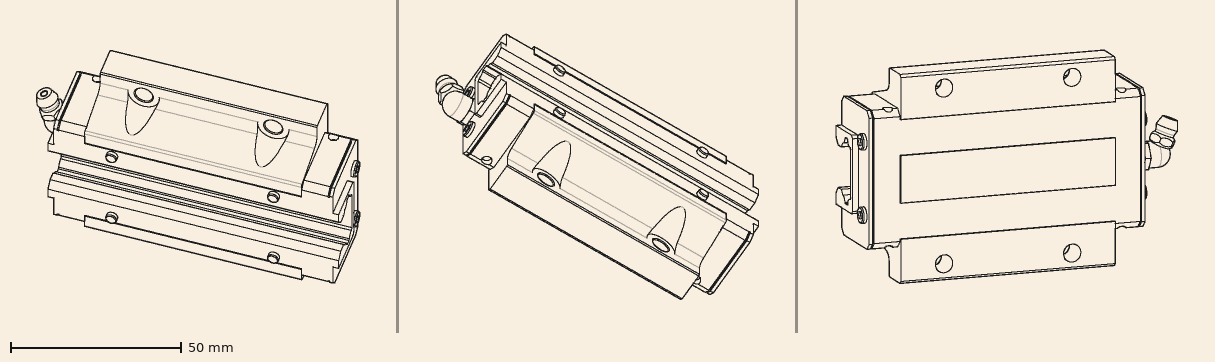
import cadquery as cq
import math


overall_length = 99.6

block_length = 67.0
block_width = 63.0
block_half_width = block_width / 2
block_front_y = -24.8
flange_thickness = 10.2
flange_back_chamfer = 0.8
flange_front_chamfer = 0.4
flank_angle = 15.0
flank_end_z = 20.9
flank_fillet = 3.0
front_edge_fillet = 0.8
front_pad_inner_z = 16.0

relief_inner_z = 7.2
relief_outer_z = 18.0
relief_depth = 0.7

mount_hole_x = 20.0
mount_hole_z = 26.5
mount_hole_diameter = 5.4
mount_mouth_diameter = 6.0
spot_face_diameter = 9.7

cap_half_width = 20.9
cap_back_y = -relief_depth
cap_front_y = -24.5
cap_chamfer = 2.1
cap_end_x = 41.6
plate_start_x = 42.0
plate_end_x = 43.1
plate_back_y = -0.9
plate_chamfer = 1.9
seam_depth = 0.5
wiper_half_width = 11.9
wiper_back_y = -10.2
wiper_chamfer = 0.9
wiper_end_x = 44.9

opening_back_y = -12.0
opening_back_half_width = 7.3
track_center_y = -15.5
track_half_width = 3.0
track_edge_z = 7.9
track_middle_half_width = 1.7
track_middle_z = 8.5
slot_mouth_half_width = 1.2
slot_mouth_z = 9.7
slot_floor_half_width = 0.8
slot_floor_z = 10.0
lip_back_y = -19.7
lip_front_y = -22.5
lip_half_width = 6.4
mouth_half_width = 8.5

port_x = 36.5
port_y = -3.5
port_diameter = 3.0
port_depth = 3.0

edge_chamfer_width = 0.2
edge_chamfer_height = 0.4

screw_y = -5.2
screw_z = 11.1
screw_diameter = 4.9
screw_height = 1.3
socket_diameter = 2.2
socket_depth = 0.6

stud_x = 25.0
stud_z = 13.4
stud_diameter = 3.4
stud_end_y = -26.0

nipple_y = -5.1
nut_width = 8.0
nut_thickness = 1.8
elbow_diameter = 8.0
nipple_tilt = 22.0
nipple_hex_width = 7.0
nipple_hex_start = 2.6
nipple_hex_end = 6.3
nipple_hex_bevel = 1.2
nipple_neck_diameter = 5.8
nipple_neck_end = 7.0
head_diameter = 6.7
head_shoulder = 8.5
head_tip_diameter = 4.7
nipple_length = 11.3
nipple_reach = (
    nipple_length * math.sin(math.radians(nipple_tilt))
    + head_tip_diameter / 2 * math.cos(math.radians(nipple_tilt))
)
elbow_center_x = wiper_end_x - overall_length + nipple_reach
inlet_diameter = 2.2
inlet_depth = 0.2
inlet_ball_diameter = 4.4


def mirrored_outline(upper_points):
    """Close an outline in (Y, Z) from its +Z half."""
    lower_points = [(y, -z) for y, z in reversed(upper_points)]
    return cq.Workplane("YZ").polyline(upper_points + lower_points).close()


def extruded_both_ways(outline, half_length):
    return outline.extrude(half_length, both=True)


def chamfered_section(half_width, back_y, chamfer, half_length, front_chamfer=0.0):
    """Bar along X with chamfers on its long edges at the back and, optionally, the front."""
    points = [(back_y, half_width - chamfer), (back_y - chamfer, half_width)]
    if front_chamfer > 0:
        points += [(cap_front_y + front_chamfer, half_width), (cap_front_y, half_width - front_chamfer)]
    else:
        points += [(cap_front_y, half_width)]
    return extruded_both_ways(mirrored_outline(points), half_length)


def steel_block():
    flank_root_z = flank_end_z + (-flange_thickness - block_front_y) * math.tan(math.radians(flank_angle))
    half_length = block_length / 2
    points = [
        (0, block_half_width - flange_back_chamfer),
        (-flange_back_chamfer, block_half_width),
        (-flange_thickness + flange_front_chamfer, block_half_width),
        (-flange_thickness, block_half_width - flange_front_chamfer),
        (-flange_thickness, flank_root_z),
        (block_front_y, flank_end_z),
        (block_front_y, front_pad_inner_z),
        (cap_front_y, front_pad_inner_z),
    ]
    block = extruded_both_ways(mirrored_outline(points), half_length)
    for side in (1, -1):
        root_edge = cq.selectors.NearestToPointSelector((0, -flange_thickness, side * flank_root_z))
        front_edge = cq.selectors.NearestToPointSelector((0, block_front_y, side * flank_end_z))
        block = block.edges("|X").edges(root_edge).fillet(flank_fillet)
        block = block.edges("|X").edges(front_edge).fillet(front_edge_fillet)
        relief = cq.Workplane("XY").box(
            block_length, 2 * relief_depth, relief_outer_z - relief_inner_z
        ).translate((0, 0, side * (relief_inner_z + relief_outer_z) / 2))
        block = block.cut(relief)
    return block


def cylinder_along_y(x, z, diameter, start_y, end_y):
    base = cq.Vector(x, start_y, z)
    direction = cq.Vector(0, math.copysign(1, end_y - start_y), 0)
    return cq.Workplane(cq.Solid.makeCylinder(diameter / 2, abs(end_y - start_y), base, direction))


def mounting_hole(x, z):
    """Through hole with a chamfered mouth in a spot face that cuts into the flank."""
    hole = cylinder_along_y(x, z, mount_hole_diameter, 0, -flange_thickness)
    spot_face = cylinder_along_y(x, z, spot_face_diameter, -flange_thickness, block_front_y)
    mouth_chamfer = (mount_mouth_diameter - mount_hole_diameter) / 2
    mouth = cq.Workplane(cq.Solid.makeCone(
        mount_mouth_diameter / 2, mount_hole_diameter / 2, mouth_chamfer,
        cq.Vector(x, -flange_thickness, z), cq.Vector(0, 1, 0),
    ))
    return hole.union(mouth).union(spot_face)


def end_sections():
    """Both end caps, cover plates and wipers as bars running through the block."""
    caps = chamfered_section(cap_half_width, cap_back_y, cap_chamfer, cap_end_x, cap_chamfer)
    seams = chamfered_section(
        cap_half_width - seam_depth, plate_back_y - seam_depth, plate_chamfer, plate_start_x, plate_chamfer
    )
    plates = chamfered_section(cap_half_width, plate_back_y, plate_chamfer, plate_end_x, plate_chamfer)
    inside_plates = cq.Workplane("XY").box(2 * plate_start_x, 4 * cap_half_width, 4 * cap_half_width)
    wipers = chamfered_section(wiper_half_width, wiper_back_y, wiper_chamfer, wiper_end_x)
    return caps.union(seams).union(plates.cut(inside_plates)).union(wipers)


def rail_opening():
    """Channel for the rail, with a ball track and a clearance slot on each side."""
    back_track_edge_y = track_center_y + track_half_width
    front_track_edge_y = track_center_y - track_half_width
    half = (
        cq.Workplane("YZ")
        .moveTo(opening_back_y, 0)
        .lineTo(opening_back_y, opening_back_half_width)
        .lineTo(back_track_edge_y, track_edge_z)
        .threePointArc(
            (track_center_y + track_middle_half_width, track_middle_z),
            (track_center_y + slot_mouth_half_width, slot_mouth_z),
        )
        .lineTo(track_center_y + slot_floor_half_width, slot_floor_z)
        .lineTo(track_center_y - slot_floor_half_width, slot_floor_z)
        .lineTo(track_center_y - slot_mouth_half_width, slot_mouth_z)
        .threePointArc(
            (track_center_y - track_middle_half_width, track_middle_z),
            (front_track_edge_y, track_edge_z),
        )
        .lineTo(lip_back_y, lip_half_width)
        .lineTo(lip_front_y, lip_half_width)
        .lineTo(cap_front_y, mouth_half_width)
        .lineTo(cap_front_y, 0)
        .close()
    )
    half = extruded_both_ways(half, wiper_end_x)
    return half.union(half.mirror("XY"))


def cover_screw(side, z):
    head = cq.Workplane("YZ").circle(screw_diameter / 2).extrude(screw_height)
    head = head.faces(">X").chamfer(edge_chamfer_height, edge_chamfer_width)
    socket = cq.Workplane("YZ").workplane(offset=screw_height).circle(socket_diameter / 2).extrude(-socket_depth)
    head = head.cut(socket)
    if side < 0:
        head = head.mirror("YZ")
    return head.translate((side * plate_end_x, screw_y, z))


def front_stud(x, z):
    stud = cylinder_along_y(x, z, stud_diameter, cap_front_y, stud_end_y)
    return stud.faces("<Y").chamfer(edge_chamfer_height, edge_chamfer_width)


def make_carriage():
    carriage = steel_block().union(end_sections()).cut(rail_opening())
    for x_side in (1, -1):
        for z_side in (1, -1):
            carriage = carriage.cut(mounting_hole(x_side * mount_hole_x, z_side * mount_hole_z))
            carriage = carriage.union(front_stud(x_side * stud_x, z_side * stud_z))
            carriage = carriage.union(cover_screw(x_side, z_side * screw_z))
            port = (
                cq.Workplane("XY", origin=(x_side * port_x, port_y, z_side * cap_half_width))
                .circle(port_diameter / 2)
                .extrude(-z_side * port_depth)
            )
            carriage = carriage.cut(port)
    return carriage


def hex_circle(width_across_flats):
    return width_across_flats / math.cos(math.radians(30))


def nipple_hex():
    """Hexagon along Z with both ends bevelled by a cone."""
    corner_diameter = hex_circle(nipple_hex_width)
    length = nipple_hex_end - nipple_hex_start
    prism = (
        cq.Workplane("XY").workplane(offset=nipple_hex_start).polygon(6, corner_diameter).extrude(length)
    )
    round_bar = (
        cq.Workplane("XY").workplane(offset=nipple_hex_start).circle(corner_diameter / 2).extrude(length)
    )
    return prism.intersect(round_bar.faces("<Z or >Z").chamfer(nipple_hex_bevel))


def nipple_head():
    """Turned neck and conical head along Z, with a spring-loaded ball in the inlet."""
    neck_radius = nipple_neck_diameter / 2
    head_radius = head_diameter / 2
    profile = [
        (0, 0),
        (neck_radius, 0),
        (neck_radius, nipple_neck_end),
        (head_radius, head_shoulder),
        (head_tip_diameter / 2, nipple_length),
        (0, nipple_length),
    ]
    head = cq.Workplane("XZ").polyline(profile).close().revolve(360, (0, 0, 0), (0, 1, 0))
    inlet = (
        cq.Workplane("XY").workplane(offset=nipple_length).circle(inlet_diameter / 2).extrude(-inlet_depth)
    )
    ball = cq.Workplane("XY").sphere(inlet_ball_diameter / 2)
    ball = ball.translate((0, 0, nipple_length - inlet_ball_diameter / 2))
    return head.cut(inlet).union(ball)


def make_grease_nipple():
    elbow_length = -plate_end_x - elbow_center_x
    ball = cq.Workplane("XY").sphere(elbow_diameter / 2).rotate((0, 0, 0), (0, 1, 0), 90)
    shank = cq.Workplane("YZ").circle(elbow_diameter / 2).extrude(elbow_length)
    nut = (
        cq.Workplane("YZ")
        .workplane(offset=elbow_length - nut_thickness)
        .polygon(6, hex_circle(nut_width))
        .extrude(nut_thickness)
    )
    spout = nipple_hex().union(nipple_head()).rotate((0, 0, 0), (0, 1, 0), -nipple_tilt)
    nipple = ball.union(shank).union(nut).union(spout)
    return nipple.translate((elbow_center_x, nipple_y, 0))


carriage = make_carriage()
grease_nipple = make_grease_nipple()
result = cq.Compound.makeCompound([carriage.val(), grease_nipple.val()])